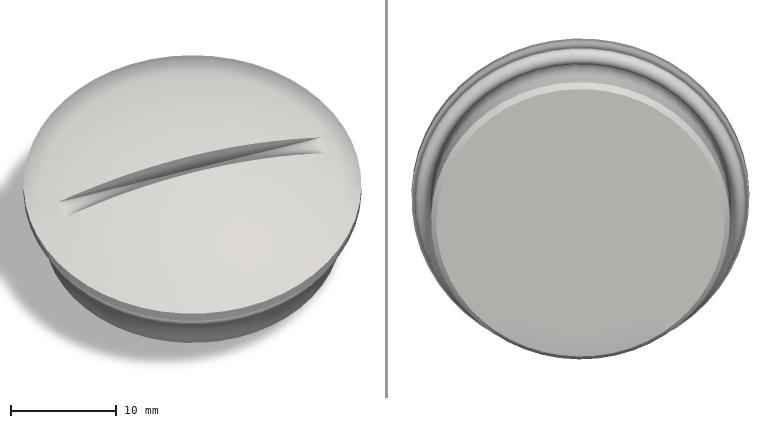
import cadquery as cq
import math

total_height = 10.0
flange_diameter = 32.0
flange_bottom = 6.0
dome_rise = 3.0
plug_diameter = 28.3
plug_chamfer = 0.5
slot_width = 2.0
slot_depth = 2.0
ring_section = 1.5

flange_radius = flange_diameter / 2
plug_radius = plug_diameter / 2
dome_radius = (flange_radius**2 + dome_rise**2) / (2 * dome_rise)
dome_base = total_height - dome_rise
dome_center = total_height - dome_radius
mid_radius = flange_radius / 2
dome_mid_height = dome_center + math.sqrt(dome_radius**2 - mid_radius**2)


def make_cap():
    """Domed screw cap: plug, flange and crown turned about Z, with a driver slot."""
    cap = (
        cq.Workplane("XZ")
        .moveTo(0, 0)
        .lineTo(plug_radius - plug_chamfer, 0)
        .lineTo(plug_radius, plug_chamfer)
        .lineTo(plug_radius, flange_bottom)
        .lineTo(flange_radius, flange_bottom)
        .lineTo(flange_radius, dome_base)
        .threePointArc((mid_radius, dome_mid_height), (0, total_height))
        .close()
        .revolve(360, (0, 0, 0), (0, 1, 0))
    )
    slot = cq.Workplane("XY").box(
        slot_width, flange_diameter, slot_depth, centered=(True, True, False)
    )
    return cap.cut(slot.translate((0, 0, total_height - slot_depth)))


def make_sealing_ring():
    """O-ring around the plug, seated against the underside of the flange."""
    section_radius = ring_section / 2
    return (
        cq.Workplane("XZ")
        .center(plug_radius + section_radius, flange_bottom - section_radius)
        .circle(section_radius)
        .revolve(360, (-plug_radius - section_radius, 0, 0), (-plug_radius - section_radius, 1, 0))
    )


cap = make_cap()
sealing_ring = make_sealing_ring()

result = cq.Compound.makeCompound([cap.val(), sealing_ring.val()])